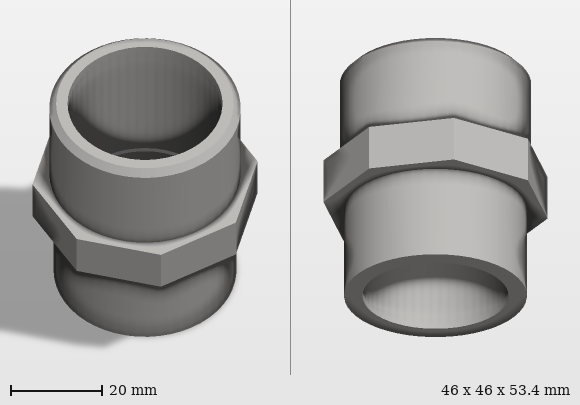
import cadquery as cq

total_height = 53.4
lower_height = 21.0
collar_height = 10.2
upper_height = total_height - lower_height - collar_height

collar_across_flats = 46.0
lower_diameter = 40.05
upper_diameter = 41.9
top_chamfer = 1.5

lower_bore_diameter = 32.0
upper_bore_diameter = 33.9

collar_base = lower_height
collar_top = lower_height + collar_height
collar_sides = 8


def cylinder(diameter, height, base):
    return cq.Workplane("XY").workplane(offset=base).circle(diameter / 2).extrude(height)


collar = (
    cq.Workplane("XY")
    .workplane(offset=collar_base)
    .polygon(collar_sides, collar_across_flats, circumscribed=True)
    .extrude(collar_height)
)

lower_barrel = cylinder(lower_diameter, lower_height, 0)
upper_barrel = cylinder(upper_diameter, upper_height, collar_top).faces(">Z").edges().chamfer(top_chamfer)

lower_bore = cylinder(lower_bore_diameter, total_height, 0)
upper_bore = cylinder(upper_bore_diameter, total_height - collar_base, collar_base)

result = collar.union(lower_barrel).union(upper_barrel).cut(lower_bore).cut(upper_bore)